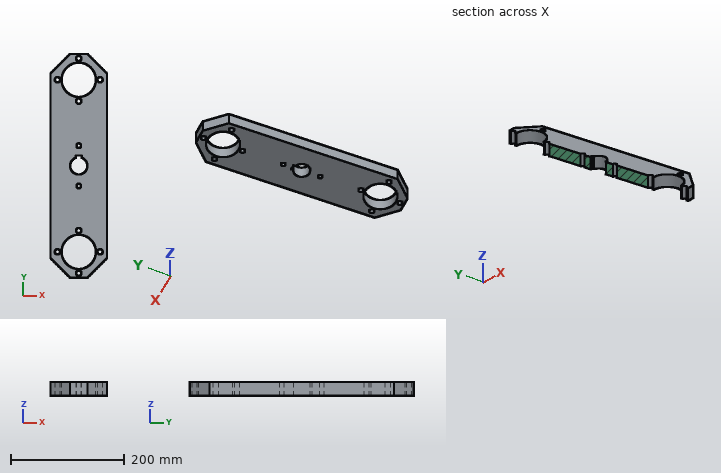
import cadquery as cq

length = 396.0
width = 100.0
thickness = 25.0
corner_chamfer = 35.0

opening_spacing = 304.0
opening_diameter = 60.0
bolt_circle_radius = 37.5
bolt_hole_diameter = 9.0
bolts_per_opening = 4

bore_diameter = 30.0
keyway_width = 10.0
keyway_top = 18.2
flank_hole_spacing = 71.3
flank_hole_diameter = 8.0


def make_plate():
    """Rectangular plate with its four vertical corners cut off."""
    plate = cq.Workplane("XY").box(width, length, thickness)
    return plate.edges("|Z").chamfer(corner_chamfer)


def cut_end_openings(plate):
    """Large opening and bolt circle near both ends."""
    for end in (-1, 1):
        center_y = end * opening_spacing / 2
        face = plate.faces(">Z").workplane(origin=(0, center_y, 0))
        plate = face.hole(opening_diameter)
        face = plate.faces(">Z").workplane(origin=(0, center_y, 0))
        bolts = face.polarArray(bolt_circle_radius, 0, 360, bolts_per_opening)
        plate = bolts.hole(bolt_hole_diameter)
    return plate


def cut_keyed_bore(plate):
    """Central bore with a keyway on its +Y side."""
    bore = cq.Workplane("XY").circle(bore_diameter / 2).extrude(thickness / 2, both=True)
    keyway = (
        cq.Workplane("XY")
        .center(0, keyway_top / 2)
        .rect(keyway_width, keyway_top)
        .extrude(thickness / 2, both=True)
    )
    return plate.cut(bore.union(keyway))


def cut_flank_holes(plate):
    """Two small through holes in line with the bore along Y."""
    offset = flank_hole_spacing / 2
    face = plate.faces(">Z").workplane(origin=(0, 0, 0))
    return face.pushPoints([(0, -offset), (0, offset)]).hole(flank_hole_diameter)


result = cut_flank_holes(cut_keyed_bore(cut_end_openings(make_plate())))